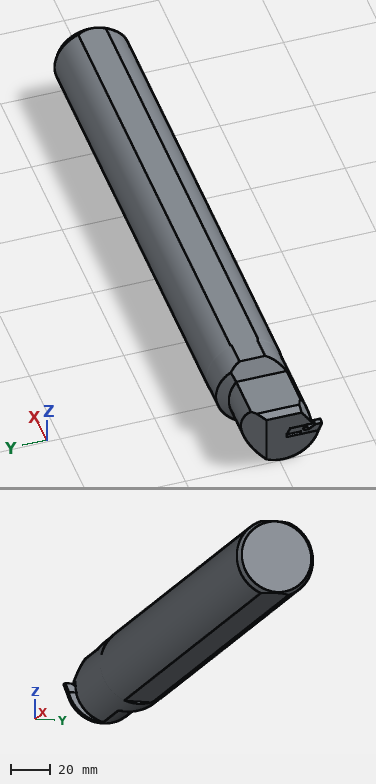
import cadquery as cq
import math

LENGTH = 300.0
SHANK_RADIUS = 20.0
NECK_RADIUS = 19.8
FLAT_HEIGHT = 18.5
NECK_END = 49.2
STEP_LENGTH = 1.0
END_CHAMFER_LENGTH = 3.0
END_CHAMFER_DEPTH = 1.8

HEAD_LENGTH = 30.0
HEAD_RADIUS = 19.2
HEAD_OFFSET = -4.5
HEAD_TOP = 11.7
NOSE_CHAMFER_LENGTH = 4.0
NOSE_CHAMFER_DROP = 2.0
BACK_BEVEL_Y = 4.5
SHOULDER_RISE = 12.0
LIP_THICKNESS = 2.7

BEVEL_EDGE_Y = -14.0
BEVEL_EDGE_Z = HEAD_TOP - NOSE_CHAMFER_DROP
BEVEL_RUN_Y = -1.5
BEVEL_RUN_Z = -2.2
BEVEL_NOSE_RISE = 1.2
BEVEL_LENGTH = 15.0
BEVEL_RISE = 5.0

INSERT_WIDTH = 3.3
INSERT_TIP_Y = SHANK_RADIUS - 45.0
INSERT_RELIEF = 1.8
INSERT_BACK_TOP_Y = -8.0
SEAT_FLOOR = -4.8
TAIL_FLOOR = -3.0
TAIL_START_Y = -13.8
TAIL_BACK_Y = -6.3
SEAT_TOP = 0.5
CUTTING_EDGE_Z = -0.3
TIP_LAND = 3.5
CHIP_FLOOR_Z = -2.7
CHIP_FRONT_Y = -17.7
CHIP_BACK_Y = -16.0
CHIP_RAMP_TOP_Y = -16.8
CHIP_RAMP_MID_Y = -15.0
CHIP_RAMP_MID_Z = -1.8

CUT_SIZE = 2 * LENGTH


def x_cylinder(radius, start, end, y=0.0):
    """Round bar parallel to X."""
    return cq.Workplane("YZ", origin=(start, y, 0)).circle(radius).extrude(end - start)


def yz_prism(points, start, end):
    """Prism along X with an outline in Y and Z."""
    return cq.Workplane("YZ", origin=(start, 0, 0)).polyline(points).close().extrude(end - start)


def make_shank():
    """Stepped round shank with a rear chamfer and two opposite flats."""
    profile = [
        (HEAD_LENGTH, 0),
        (HEAD_LENGTH, NECK_RADIUS),
        (NECK_END, NECK_RADIUS),
        (NECK_END + STEP_LENGTH, SHANK_RADIUS),
        (LENGTH - END_CHAMFER_LENGTH, SHANK_RADIUS),
        (LENGTH, SHANK_RADIUS - END_CHAMFER_DEPTH),
        (LENGTH, 0),
    ]
    shank = cq.Workplane("XY").polyline(profile).close().revolve(360, (0, 0, 0), (1, 0, 0))
    top_cut = cq.Workplane("XY").box(CUT_SIZE, CUT_SIZE, CUT_SIZE, centered=(True, True, False))
    bottom_cut = cq.Workplane("XY").box(LENGTH, CUT_SIZE, CUT_SIZE, centered=(False, True, False))
    shank = shank.cut(top_cut.translate((0, 0, FLAT_HEIGHT)))
    return shank.cut(bottom_cut.translate((NECK_END, 0, -FLAT_HEIGHT - CUT_SIZE)))


def shape_shoulder(shank):
    """Cone and 45 degree ramp that carry the head out to the neck."""
    end = HEAD_LENGTH + SHOULDER_RISE
    cone_profile = [
        (HEAD_LENGTH, 0),
        (HEAD_LENGTH, HEAD_RADIUS),
        (end, HEAD_RADIUS + SHOULDER_RISE),
        (end, 0),
    ]
    cone = cq.Workplane("XY").polyline(cone_profile).close().revolve(360, (0, 0, 0), (1, 0, 0))
    envelope = cone.translate((0, HEAD_OFFSET, 0)).union(x_cylinder(2 * SHANK_RADIUS, end, LENGTH))
    ramp_profile = [
        (HEAD_LENGTH, HEAD_TOP),
        (end, HEAD_TOP + SHOULDER_RISE),
        (HEAD_LENGTH, HEAD_TOP + SHOULDER_RISE),
    ]
    ramp = cq.Workplane("XZ").polyline(ramp_profile).close().extrude(SHANK_RADIUS * 2, both=True)
    return shank.intersect(envelope).cut(ramp)


def make_corner_bevel():
    """Two-slope wedge that trims the front corner above the insert."""
    plane = cq.Plane(
        origin=(0, BEVEL_EDGE_Y, BEVEL_EDGE_Z),
        xDir=(1, 0, 0),
        normal=(0, -BEVEL_RUN_Y, -BEVEL_RUN_Z),
    )
    outline = [
        (0, 0),
        (NOSE_CHAMFER_LENGTH, -BEVEL_NOSE_RISE),
        (BEVEL_LENGTH, -BEVEL_RISE),
        (BEVEL_LENGTH, -SHANK_RADIUS),
        (0, -SHANK_RADIUS),
    ]
    reach_down = math.hypot(BEVEL_RUN_Y, BEVEL_RUN_Z) * (BEVEL_EDGE_Z - SEAT_TOP) / -BEVEL_RUN_Z
    return (
        cq.Workplane(plane)
        .workplane(offset=-reach_down)
        .polyline(outline)
        .close()
        .extrude(reach_down + SHANK_RADIUS)
    )


def make_head():
    """Eccentric head with a thin lip reaching under the insert."""
    round_head = x_cylinder(HEAD_RADIUS, 0, HEAD_LENGTH, HEAD_OFFSET)
    head = round_head.intersect(x_cylinder(NECK_RADIUS, 0, HEAD_LENGTH))
    lip_limit = cq.Workplane("XY").box(
        LIP_THICKNESS, CUT_SIZE, CUT_SIZE, centered=(False, True, False)
    )
    head = head.union(round_head.intersect(lip_limit.translate((0, 0, SEAT_FLOOR - CUT_SIZE))))
    side_profile = [
        (0, -SHANK_RADIUS),
        (0, HEAD_TOP - NOSE_CHAMFER_DROP),
        (NOSE_CHAMFER_LENGTH, HEAD_TOP),
        (HEAD_LENGTH, HEAD_TOP),
        (HEAD_LENGTH, -SHANK_RADIUS),
    ]
    head = head.intersect(
        cq.Workplane("XZ").polyline(side_profile).close().extrude(2 * SHANK_RADIUS, both=True)
    )
    back_bevel = [
        (0, BACK_BEVEL_Y),
        (HEAD_LENGTH, BACK_BEVEL_Y + HEAD_LENGTH),
        (0, BACK_BEVEL_Y + HEAD_LENGTH),
    ]
    head = head.cut(
        cq.Workplane("XY").polyline(back_bevel).close().extrude(2 * SHANK_RADIUS, both=True)
    )
    return head.cut(make_corner_bevel())


def make_holder():
    """Bar and head in one piece, with the open seat for the insert."""
    seat = [
        (TAIL_BACK_Y, SEAT_FLOOR),
        (TAIL_BACK_Y, TAIL_FLOOR),
        (INSERT_BACK_TOP_Y, SEAT_TOP),
        (INSERT_TIP_Y, SEAT_TOP),
        (INSERT_TIP_Y, SEAT_FLOOR),
    ]
    bar = shape_shoulder(make_shank()).union(make_head())
    return bar.cut(yz_prism(seat, 0, INSERT_WIDTH))


def make_insert():
    """Grooving insert with a chip hollow behind its cutting land and a stepped tail."""
    outline = [
        (TAIL_START_Y, SEAT_FLOOR),
        (TAIL_START_Y, TAIL_FLOOR),
        (TAIL_BACK_Y, TAIL_FLOOR),
        (INSERT_BACK_TOP_Y, SEAT_TOP),
        (CHIP_RAMP_TOP_Y, SEAT_TOP),
        (CHIP_RAMP_MID_Y, CHIP_RAMP_MID_Z),
        (CHIP_BACK_Y, CHIP_FLOOR_Z),
        (CHIP_FRONT_Y, CHIP_FLOOR_Z),
        (INSERT_TIP_Y + TIP_LAND, CUTTING_EDGE_Z),
        (INSERT_TIP_Y, CUTTING_EDGE_Z),
        (INSERT_TIP_Y + INSERT_RELIEF, SEAT_FLOOR),
    ]
    return yz_prism(outline, 0, INSERT_WIDTH)


holder = make_holder()
insert = make_insert()
result = cq.Compound.makeCompound([holder.val(), insert.val()])